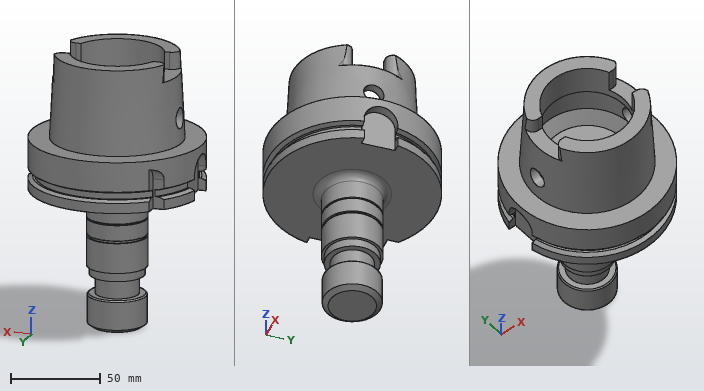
import cadquery as cq
import math


TOTAL_LENGTH = 159.5
SHANK_HEIGHT = 49.3
FLANGE_HEIGHT = 29.7
ARBOR_LENGTH = TOTAL_LENGTH - SHANK_HEIGHT - FLANGE_HEIGHT

SHANK_TOP_DIAMETER = 70.8
SHANK_BASE_DIAMETER = 76.0
CROSS_HOLE_DIAMETER = 12.0
CROSS_HOLE_DEPTH = 34.8

BORE_DIAMETER = 53.1
BORE_LIP_DEPTH = 20.0
CAVITY_DIAMETER = 63.2
CAVITY_FLARE_ANGLE = 60.0
CAVITY_DEPTH = 40.4
FLOOR_DIAMETER = 49.8

SLOT_WIDTH = 19.8
SHALLOW_SLOT_DEPTH = 10.0
DEEP_SLOT_DEPTH = 15.2
LUG_CORNER_RADIUS = 4.8
LUG_REACH = 32.4
LUG_ARC_END_ANGLE = 25.0

FLANGE_DIAMETER = 100.0
LOWER_RIM_HEIGHT = 5.9
GROOVE_ROOT_DIAMETER = 92.0
GROOVE_MOUTH_WIDTH = 6.5
GROOVE_CHAMFER_HEIGHT = 1.3
GROOVE_SHOULDER_DIAMETER = 94.7

KEYWAY_FLOOR = 44.3
KEYWAY_HEIGHT = 24.4
NOTCH_OFFSET = 31.9
NOTCH_RADIUS = 7.0

ARBOR_DIAMETER = 34.6
ARBOR_FILLET = 4.6
SLEEVE_LENGTH = 45.0
COLLAR_DIAMETER = 31.5
COLLAR_LENGTH = 5.3
NECK_DIAMETER = 24.9
NUT_DIAMETER = 33.7
NUT_LENGTH = 19.3
NUT_TOP_CHAMFER = 0.8
NUT_END_DIAMETER = 27.1
NUT_END_CHAMFER_HEIGHT = 2.2
RING_GROOVE_DIAMETER = 32.5
RING_GROOVES = ((16.3, 0.8), (26.2, 1.5))

MARGIN = 8.0


def disc(diameter, top, height):
    """Upright cylinder hanging down from the level top."""
    return cq.Workplane("XY").workplane(offset=top - height).circle(diameter / 2).extrude(height)


def make_shank_and_flange():
    flange_radius = FLANGE_DIAMETER / 2
    shoulder = GROOVE_SHOULDER_DIAMETER / 2
    root = GROOVE_ROOT_DIAMETER / 2
    groove_bottom = -FLANGE_HEIGHT + LOWER_RIM_HEIGHT
    groove_top = groove_bottom + GROOVE_MOUTH_WIDTH
    outline = (
        cq.Workplane("YZ")
        .moveTo(0, SHANK_HEIGHT)
        .lineTo(SHANK_TOP_DIAMETER / 2, SHANK_HEIGHT)
        .lineTo(SHANK_BASE_DIAMETER / 2, 0)
        .lineTo(flange_radius, 0)
        .lineTo(flange_radius, groove_top)
        .lineTo(shoulder, groove_top - GROOVE_CHAMFER_HEIGHT)
        .lineTo(root, groove_top - GROOVE_CHAMFER_HEIGHT)
        .lineTo(root, groove_bottom + GROOVE_CHAMFER_HEIGHT)
        .lineTo(shoulder, groove_bottom + GROOVE_CHAMFER_HEIGHT)
        .lineTo(flange_radius, groove_bottom)
        .lineTo(flange_radius, -FLANGE_HEIGHT)
        .lineTo(0, -FLANGE_HEIGHT)
        .close()
    )
    return outline.revolve(360, (0, 0, 0), (0, 1, 0))


def make_bore():
    """Bore that flares into a wider cavity, with a 45 degree seat around the floor."""
    bore_radius = BORE_DIAMETER / 2
    cavity_radius = CAVITY_DIAMETER / 2
    floor_radius = FLOOR_DIAMETER / 2
    lip = SHANK_HEIGHT - BORE_LIP_DEPTH
    flare_height = (cavity_radius - bore_radius) / math.tan(math.radians(CAVITY_FLARE_ANGLE))
    seat_top = SHANK_HEIGHT - CAVITY_DEPTH
    floor = seat_top - (cavity_radius - floor_radius)
    outline = (
        cq.Workplane("YZ")
        .moveTo(0, SHANK_HEIGHT)
        .lineTo(bore_radius, SHANK_HEIGHT)
        .lineTo(bore_radius, lip)
        .lineTo(cavity_radius, lip - flare_height)
        .lineTo(cavity_radius, seat_top)
        .lineTo(floor_radius, floor)
        .lineTo(0, floor)
        .close()
    )
    return outline.revolve(360, (0, 0, 0), (0, 1, 0))


def make_drive_slot(side, depth):
    """Slot at the +X (side = 1) or -X (side = -1) rim, rounding the lug corners beside it."""
    half_width = SLOT_WIDTH / 2
    center_x = LUG_REACH - LUG_CORNER_RADIUS
    center_y = half_width + LUG_CORNER_RADIUS
    outer_x = FLANGE_DIAMETER / 2

    def on_corner(angle):
        turn = math.radians(angle)
        x = center_x + LUG_CORNER_RADIUS * math.cos(turn)
        y = center_y + LUG_CORNER_RADIUS * math.sin(turn)
        return x, y

    mid_x, mid_y = on_corner(0)
    end_x, end_y = on_corner(LUG_ARC_END_ANGLE)
    exit_x = end_x - MARGIN * math.sin(math.radians(LUG_ARC_END_ANGLE))
    exit_y = end_y + MARGIN * math.cos(math.radians(LUG_ARC_END_ANGLE))
    outline = (
        cq.Workplane("XY")
        .workplane(offset=SHANK_HEIGHT - depth)
        .moveTo(0, half_width)
        .lineTo(side * center_x, half_width)
        .threePointArc((side * mid_x, mid_y), (side * end_x, end_y))
        .lineTo(side * exit_x, exit_y)
        .lineTo(side * outer_x, exit_y)
        .lineTo(side * outer_x, -exit_y)
        .lineTo(side * exit_x, -exit_y)
        .lineTo(side * end_x, -end_y)
        .threePointArc((side * mid_x, -mid_y), (side * center_x, -half_width))
        .lineTo(0, -half_width)
        .close()
    )
    return outline.extrude(depth + MARGIN)


def make_arched_cutter(center_y, radius, floor):
    """Round-topped block reaching outward along -X from the plane X = -floor."""
    bottom = -FLANGE_HEIGHT - MARGIN
    arch_center = -FLANGE_HEIGHT + KEYWAY_HEIGHT - radius
    outline = (
        cq.Workplane("YZ")
        .workplane(offset=-floor)
        .moveTo(center_y - radius, bottom)
        .lineTo(center_y - radius, arch_center)
        .threePointArc((center_y, arch_center + radius), (center_y + radius, arch_center))
        .lineTo(center_y + radius, bottom)
        .close()
    )
    return outline.extrude(-(FLANGE_DIAMETER / 2 - floor + MARGIN))


def make_arbor():
    top = -FLANGE_HEIGHT
    radius = ARBOR_DIAMETER / 2
    arc_reach = ARBOR_FILLET * (1 - math.sqrt(0.5))
    sleeve = (
        cq.Workplane("YZ")
        .moveTo(0, top)
        .lineTo(radius + ARBOR_FILLET, top)
        .threePointArc((radius + arc_reach, top - arc_reach), (radius, top - ARBOR_FILLET))
        .lineTo(radius, top - SLEEVE_LENGTH)
        .lineTo(0, top - SLEEVE_LENGTH)
        .close()
        .revolve(360, (0, 0, 0), (0, 1, 0))
    )
    for depth, width in RING_GROOVES:
        ring = disc(ARBOR_DIAMETER + MARGIN, top - depth, width)
        sleeve = sleeve.cut(ring.cut(disc(RING_GROOVE_DIAMETER, top - depth, width)))

    collar = disc(COLLAR_DIAMETER, top - SLEEVE_LENGTH, COLLAR_LENGTH)
    neck_top = top - SLEEVE_LENGTH - COLLAR_LENGTH
    nut_top = top - ARBOR_LENGTH + NUT_LENGTH
    neck = disc(NECK_DIAMETER, neck_top, neck_top - nut_top)
    nut = disc(NUT_DIAMETER, nut_top, NUT_LENGTH)
    nut = nut.faces(">Z").chamfer(NUT_TOP_CHAMFER)
    nut = nut.intersect(
        cq.Workplane("XY")
        .workplane(offset=top - ARBOR_LENGTH)
        .circle(NUT_END_DIAMETER / 2)
        .workplane(offset=NUT_END_CHAMFER_HEIGHT)
        .circle(NUT_DIAMETER / 2)
        .loft()
        .union(disc(NUT_DIAMETER, nut_top, NUT_LENGTH - NUT_END_CHAMFER_HEIGHT))
    )
    return sleeve.union(collar).union(neck).union(nut)


holder = make_shank_and_flange().union(make_arbor()).cut(make_bore())

holder = holder.cut(make_drive_slot(-1, SHALLOW_SLOT_DEPTH))
holder = holder.cut(make_drive_slot(1, DEEP_SLOT_DEPTH))

cross_hole = (
    cq.Workplane("YZ")
    .center(0, SHANK_HEIGHT - CROSS_HOLE_DEPTH)
    .circle(CROSS_HOLE_DIAMETER / 2)
    .extrude(FLANGE_DIAMETER / 2, both=True)
)
holder = holder.cut(cross_hole)

keyway = make_arched_cutter(0, SLOT_WIDTH / 2, KEYWAY_FLOOR)
holder = holder.cut(keyway).cut(keyway.mirror("YZ"))
result = holder.cut(make_arched_cutter(NOTCH_OFFSET + NOTCH_RADIUS, NOTCH_RADIUS, NOTCH_OFFSET))